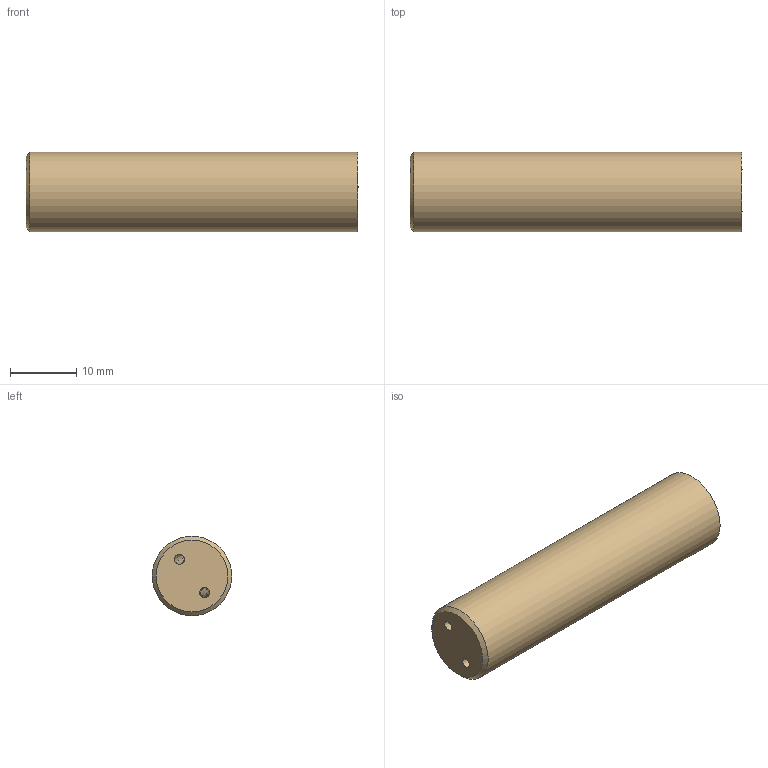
import cadquery as cq
import math

rod_diameter = 12.0
rod_length = 50.0
end_chamfer = 0.6

channel_diameter = 1.5
channel_offset_y = 1.9
channel_offset_z = 2.5
helix_angle = 15.0
helix_lead = math.pi * rod_diameter / math.tan(math.radians(helix_angle))
twist_angle = 360.0 * rod_length / helix_lead


def make_rod():
    """Plain rod from X = 0 to X = rod_length, chamfered at the X = 0 end."""
    rod = cq.Workplane("YZ").circle(rod_diameter / 2).extrude(rod_length)
    return rod.faces("<X").chamfer(end_chamfer)


def helical_channel(y, z):
    """Cutter of round cross section starting at (y, z) and twisting along the full rod."""
    section = cq.Workplane("YZ").moveTo(y, z).circle(channel_diameter / 2)
    return section.twistExtrude(rod_length, twist_angle)


result = make_rod()
for side in (1, -1):
    result = result.cut(helical_channel(side * channel_offset_y, side * channel_offset_z))